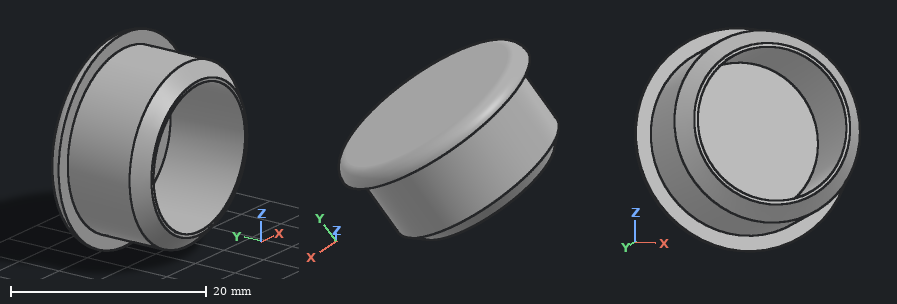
import cadquery as cq
import math

flange_diameter = 23.2
barrel_diameter = 20.0
bore_diameter = 16.0
total_length = 11.0
flange_thickness = 1.6
chamfer = 1.6
floor_thickness = 1.6

flange_radius = flange_diameter / 2
barrel_radius = barrel_diameter / 2
bore_radius = bore_diameter / 2
barrel_length = total_length - flange_thickness

crown_radius = flange_radius - flange_thickness
round_offset = flange_thickness * math.sqrt(0.5)
rim_midpoint = (crown_radius + round_offset, round_offset)
bore_floor = flange_thickness - floor_thickness

half_section = (
    cq.Workplane("XY")
    .moveTo(0, bore_floor)
    .lineTo(bore_radius, bore_floor)
    .lineTo(bore_radius, -barrel_length)
    .lineTo(barrel_radius - chamfer, -barrel_length)
    .lineTo(barrel_radius, -barrel_length + chamfer)
    .lineTo(barrel_radius, 0)
    .lineTo(flange_radius, 0)
    .threePointArc(rim_midpoint, (crown_radius, flange_thickness))
    .lineTo(0, flange_thickness)
    .close()
)

result = half_section.revolve(360, (0, 0, 0), (0, 1, 0))